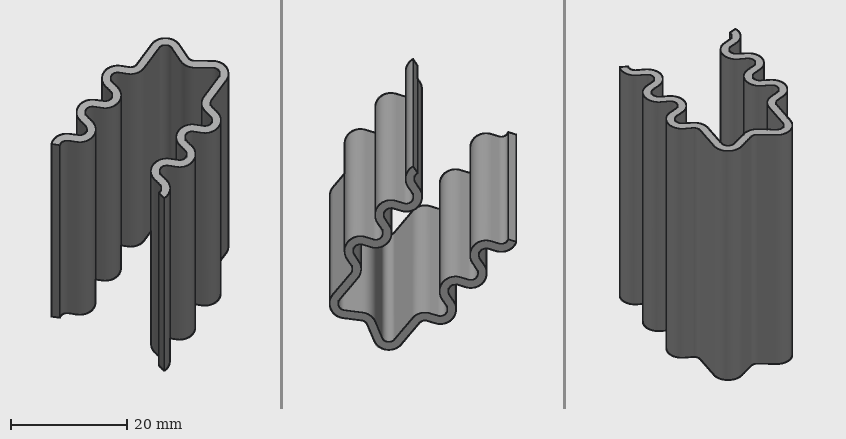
import cadquery as cq
import math

length = 50.0
thickness = 1.5
small_radius = 1.25
wall_outer_x = 7.5
valley_drop = 2.15
first_bend_y = -7.75
wave_x = -8.75
wave_slope = 20.0
crest_count = 3

large_radius = small_radius + thickness
radius_sum = small_radius + large_radius
half_pitch = radius_sum / math.cos(math.radians(wave_slope))

corner_x = -(wall_outer_x - large_radius)
corner_y = -large_radius
valley_y = small_radius - valley_drop
center_rise = valley_y - corner_y
center_distance = math.hypot(corner_x, center_rise)
notch_slope = math.degrees(
    math.asin(radius_sum / center_distance) - math.atan2(center_rise, -corner_x)
)


def list_bends():
    """Left-half bends from valley to tip: (x, y, start angle, end angle, bulges outward)."""
    flank = 90 - wave_slope
    bends = [
        (0, valley_y, 270, 270 - notch_slope, False),
        (corner_x, corner_y, 90 - notch_slope, 180, True),
    ]
    for i in range(crest_count):
        inward_y = first_bend_y - 2 * i * half_pitch
        crest_y = inward_y - half_pitch
        inward_start = 0 if i == 0 else flank
        crest_end = 180 + (wave_slope if i == crest_count - 1 else flank)
        bends.append((wave_x, inward_y, inward_start, -flank, False))
        bends.append((wave_x, crest_y, 180 - flank, crest_end, True))
    return bends


def bend_arc(bend, outer_face):
    """Start, middle and end points of one bend on the outer or inner sheet face."""
    x, y, start, end, bulges_outward = bend
    radius = large_radius if bulges_outward == outer_face else small_radius
    angles = [math.radians(a) for a in (start, (start + end) / 2, end)]
    return [(x + radius * math.cos(a), y + radius * math.sin(a)) for a in angles]


def half_profile():
    """Closed left half: along the outer face to the tip, back along the inner face."""
    bends = list_bends()
    arcs = [bend_arc(bend, True) for bend in bends]
    arcs += [bend_arc(bend, False)[::-1] for bend in reversed(bends)]
    sketch = cq.Workplane("XY").moveTo(*arcs[0][0]).threePointArc(*arcs[0][1:])
    for start, middle, end in arcs[1:]:
        sketch = sketch.lineTo(*start).threePointArc(middle, end)
    return sketch.close()


left_half = half_profile().extrude(length)
result = left_half.union(left_half.mirror("YZ")).clean()